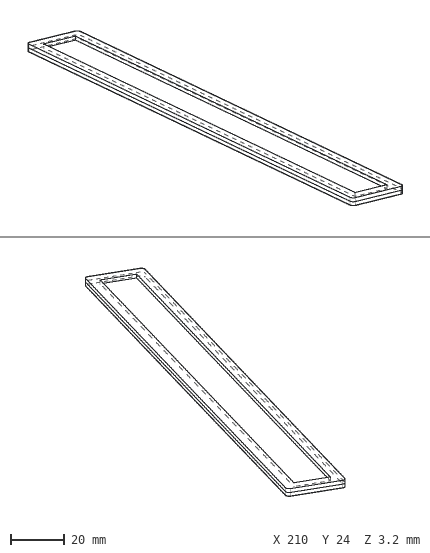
import cadquery as cq

length = 210.0
width = 24.0
total_height = 3.2
corner_radius = 1.5

base_thickness = total_height / 2
frame_thickness = total_height - base_thickness

border = 4.6


def rounded_plate(thickness, bottom):
    """Flat plate of the full outline with rounded vertical corners."""
    return (
        cq.Workplane("XY", origin=(0, 0, bottom))
        .rect(length, width)
        .extrude(thickness)
        .edges("|Z")
        .fillet(corner_radius)
    )


def make_base():
    """Plain plate that closes the underside of the window."""
    return rounded_plate(base_thickness, 0)


def make_frame():
    """Border with a sharp-cornered window, lying on the base."""
    window = (
        cq.Workplane("XY", origin=(0, 0, base_thickness))
        .rect(length - 2 * border, width - 2 * border)
        .extrude(frame_thickness)
    )
    return rounded_plate(frame_thickness, base_thickness).cut(window)


base = make_base()
frame = make_frame()

result = cq.Compound.makeCompound([base.val(), frame.val()])